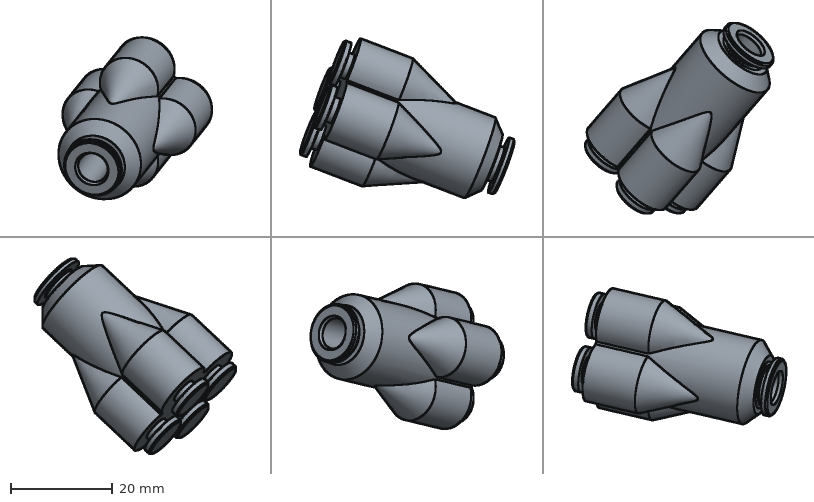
import cadquery as cq
import math

TOTAL_LENGTH = 38.6

SLEEVE_FLANGE_RADIUS = 5.83
SLEEVE_FLANGE_LENGTH = 1.2
SLEEVE_FLANGE_CHAMFER = 0.35
SLEEVE_STEM_RADIUS = 3.63
SLEEVE_END_Y = 15.45

BORE_RADIUS = 3.05
BORE_MOUTH_RADIUS = 3.45
MOUTH_THROAT_RADIUS = 3.13
MOUTH_THROAT_DEPTH = 0.58
BORE_START_DEPTH = 0.75
BORE_FLOOR_RADIUS = 2.47
BORE_CONE_LENGTH = 0.4

TRUNK_RADIUS = 8.53
TRUNK_NOSE_RADIUS = 6.0
TRUNK_FRONT_Y = 2.7
NOSE_END_Y = 5.2
COLLAR_BASE_RADIUS = 4.75
COLLAR_TIP_RADIUS = 4.05
COLLAR_FRONT_Y = 2.47

ARM_COUNT = 4
ARM_RADIUS = 6.02
ARM_OFFSET = 7.72
ARM_START_Y = 24.8
ARM_END_Y = 35.8
ARM_CONE_HALF_ANGLE = 24.7

OUTLET_FLANGE_RADIUS = 4.55
OUTLET_FLANGE_LENGTH = 1.4
OUTLET_FLANGE_CHAMFER = 0.27
OUTLET_STEM_RADIUS = 2.6

ROOT_FLARE = 0.1
ROOT_LENGTH = 0.25


def turned(profile):
    """Revolve an outline of (radius, y) points about the Y axis."""
    return cq.Workplane("XY").polyline(profile).close().revolve(360, (0, 0, 0), (0, 1, 0))


def make_sleeve():
    root_radius = SLEEVE_STEM_RADIUS + ROOT_FLARE
    return turned([
        (BORE_MOUTH_RADIUS, 0),
        (SLEEVE_FLANGE_RADIUS - SLEEVE_FLANGE_CHAMFER, 0),
        (SLEEVE_FLANGE_RADIUS, SLEEVE_FLANGE_CHAMFER),
        (SLEEVE_FLANGE_RADIUS, SLEEVE_FLANGE_LENGTH),
        (root_radius, SLEEVE_FLANGE_LENGTH),
        (SLEEVE_STEM_RADIUS, SLEEVE_FLANGE_LENGTH + ROOT_LENGTH),
        (SLEEVE_STEM_RADIUS, SLEEVE_END_Y),
        (BORE_RADIUS, SLEEVE_END_Y),
        (BORE_RADIUS, BORE_START_DEPTH),
        (MOUTH_THROAT_RADIUS, MOUTH_THROAT_DEPTH),
    ])


def make_trunk():
    """Round trunk with a tapered nose and a low conical collar around the sleeve."""
    return turned([
        (0, COLLAR_FRONT_Y),
        (COLLAR_TIP_RADIUS, COLLAR_FRONT_Y),
        (COLLAR_BASE_RADIUS, TRUNK_FRONT_Y),
        (TRUNK_NOSE_RADIUS, TRUNK_FRONT_Y),
        (TRUNK_RADIUS, NOSE_END_Y),
        (TRUNK_RADIUS, ARM_END_Y),
        (0, ARM_END_Y),
    ])


def make_arm():
    """Arm on the Y axis: pointed cone, cylinder, then a stem and flange at the outlet."""
    cone_tip_y = ARM_START_Y - ARM_RADIUS / math.tan(math.radians(ARM_CONE_HALF_ANGLE))
    flange_back_y = TOTAL_LENGTH - OUTLET_FLANGE_LENGTH
    return turned([
        (0, cone_tip_y),
        (ARM_RADIUS, ARM_START_Y),
        (ARM_RADIUS, ARM_END_Y),
        (OUTLET_STEM_RADIUS, ARM_END_Y),
        (OUTLET_STEM_RADIUS, flange_back_y - ROOT_LENGTH),
        (OUTLET_STEM_RADIUS + ROOT_FLARE, flange_back_y),
        (OUTLET_FLANGE_RADIUS, flange_back_y),
        (OUTLET_FLANGE_RADIUS, TOTAL_LENGTH - OUTLET_FLANGE_CHAMFER),
        (OUTLET_FLANGE_RADIUS - OUTLET_FLANGE_CHAMFER, TOTAL_LENGTH),
        (0, TOTAL_LENGTH),
    ])


def make_socket():
    """Recess that holds the sleeve and ends in a shallow cone with a flat floor."""
    floor_y = SLEEVE_END_Y + BORE_CONE_LENGTH
    return turned([
        (0, COLLAR_FRONT_Y),
        (SLEEVE_STEM_RADIUS, COLLAR_FRONT_Y),
        (SLEEVE_STEM_RADIUS, SLEEVE_END_Y),
        (BORE_RADIUS, SLEEVE_END_Y),
        (BORE_FLOOR_RADIUS, floor_y),
        (0, floor_y),
    ])


def make_housing():
    housing = make_trunk()
    for i in range(ARM_COUNT):
        arm = make_arm().translate((ARM_OFFSET, 0, 0))
        housing = housing.union(arm.rotate((0, 0, 0), (0, 1, 0), i * 360 / ARM_COUNT))
    return housing.cut(make_socket())


sleeve = make_sleeve()
housing = make_housing()

result = cq.Compound.makeCompound([housing.val(), sleeve.val()])